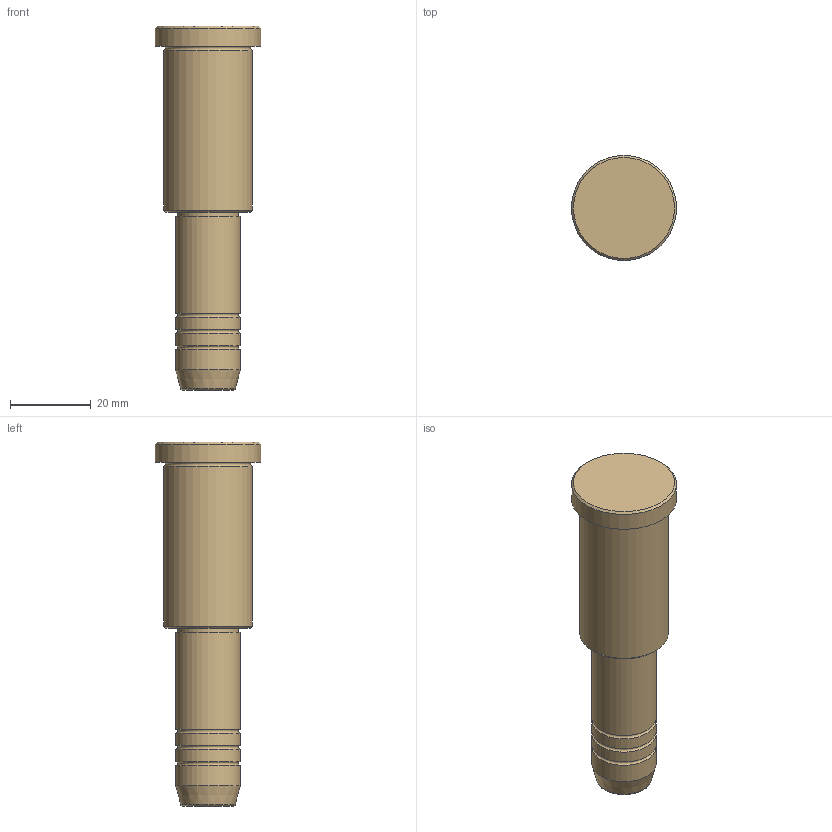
import math

import cadquery as cq

total_length = 90.0

head_radius = 13.0
head_height = 5.0

shank_radius = 11.0
shank_bottom = 44.0

pin_radius = 8.0
neck_depth = 0.5
neck_height = 1.0

tip_height = 5.0
tip_angle = 15.0
tip_fillet = 0.5

edge_chamfer = 0.5

groove_radius = 0.5
pin_groove_count = 3
pin_groove_pitch = 4.0
lowest_pin_groove = 10.5

head_bottom = total_length - head_height
pin_top = shank_bottom - neck_height
tip_radius = pin_radius - tip_height * math.tan(math.radians(tip_angle))


def cylinder(radius, bottom, top):
    """Solid cylinder on the Z axis between two heights."""
    return cq.Workplane("XY").workplane(offset=bottom).circle(radius).extrude(top - bottom)


def round_groove(radius, center):
    """Ring to remove from a cylinder of the given radius, leaving a half-round groove."""
    groove_bottom = (radius - groove_radius, center)
    groove_top_edge = (radius, center + groove_radius)
    return (
        cq.Workplane("XZ")
        .moveTo(radius, center - groove_radius)
        .threePointArc(groove_bottom, groove_top_edge)
        .close()
        .revolve(360, (0, 0, 0), (0, 1, 0))
    )


def make_head():
    head = cylinder(head_radius, head_bottom, total_length)
    return head.faces(">Z").edges().chamfer(edge_chamfer)


def make_shank():
    shank = cylinder(shank_radius, shank_bottom, head_bottom)
    shank = shank.faces("<Z").edges().chamfer(edge_chamfer)
    return shank.cut(round_groove(shank_radius, head_bottom - groove_radius))


def make_neck():
    return cylinder(pin_radius - neck_depth, pin_top, shank_bottom)


def make_pin():
    pin = cylinder(pin_radius, tip_height, pin_top)
    for index in range(pin_groove_count):
        pin = pin.cut(round_groove(pin_radius, lowest_pin_groove + index * pin_groove_pitch))
    return pin


def make_tip():
    tip = (
        cq.Workplane("XZ")
        .lineTo(tip_radius, 0)
        .lineTo(pin_radius, tip_height)
        .lineTo(0, tip_height)
        .close()
        .revolve(360, (0, 0, 0), (0, 1, 0))
    )
    return tip.faces("<Z").edges().fillet(tip_fillet)


result = make_head().union(make_shank()).union(make_neck()).union(make_pin()).union(make_tip())